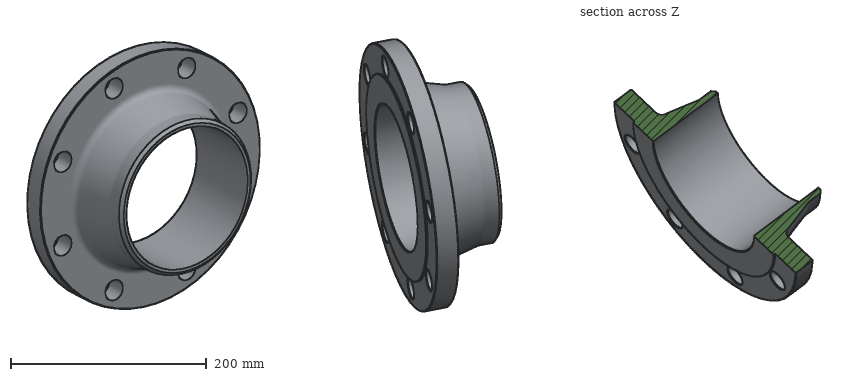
import cadquery as cq
import math


face_diameter = 217.0
face_height = 2.0
face_edge_chamfer = 0.5

length = 89.0
flange_diameter = 280.0
flange_thickness = 23.9
flange_back = face_height + flange_thickness
rim_chamfer = 1.0

bore_diameter = 154.1
bore_chamfer = 1.0

hub_diameter = 192.0
pipe_diameter = 168.3
taper_end = 69.5
hub_root_radius = 8.0
taper_blend_radius = 10.0
wall_thickness = (pipe_diameter - bore_diameter) / 2
weld_bevel = wall_thickness / 2

bolt_count = 8
bolt_circle_diameter = 241.3
bolt_hole_diameter = 22.2
bolt_hole_chamfer = 0.8

AXIS_START = (0, 0, 0)
AXIS_END = (1, 0, 0)


def make_blank():
    """Solid flange, turned from a half section given as (axial, radial) points."""
    flange_radius = flange_diameter / 2
    face_radius = face_diameter / 2
    hub_radius = hub_diameter / 2
    pipe_radius = pipe_diameter / 2

    cone_angle = math.atan2(hub_radius - pipe_radius, taper_end - flange_back)
    sin_cone = math.sin(cone_angle)
    cos_cone = math.cos(cone_angle)

    root_half_turn = (math.pi / 2 - cone_angle) / 2
    root_tangent = hub_root_radius * math.tan(root_half_turn)
    root_start = (flange_back, hub_radius + root_tangent)
    root_mid = (
        flange_back + hub_root_radius * (1 - math.cos(root_half_turn)),
        root_start[1] - hub_root_radius * math.sin(root_half_turn),
    )
    root_end = (flange_back + root_tangent * cos_cone, hub_radius - root_tangent * sin_cone)

    blend_half_turn = cone_angle / 2
    blend_tangent = taper_blend_radius * math.tan(blend_half_turn)
    blend_start = (taper_end - blend_tangent * cos_cone, pipe_radius + blend_tangent * sin_cone)
    blend_end = (taper_end + blend_tangent, pipe_radius)
    blend_mid = (
        blend_end[0] - taper_blend_radius * math.sin(blend_half_turn),
        pipe_radius + taper_blend_radius * (1 - math.cos(blend_half_turn)),
    )

    return (
        cq.Workplane("XZ")
        .moveTo(0, 0)
        .lineTo(0, face_radius - face_edge_chamfer)
        .lineTo(face_edge_chamfer, face_radius)
        .lineTo(face_height, face_radius)
        .lineTo(face_height, flange_radius - rim_chamfer)
        .lineTo(face_height + rim_chamfer, flange_radius)
        .lineTo(flange_back - rim_chamfer, flange_radius)
        .lineTo(flange_back, flange_radius - rim_chamfer)
        .lineTo(*root_start)
        .threePointArc(root_mid, root_end)
        .lineTo(*blend_start)
        .threePointArc(blend_mid, blend_end)
        .lineTo(length - weld_bevel, pipe_radius)
        .lineTo(length, pipe_radius - weld_bevel)
        .lineTo(length, 0)
        .close()
        .revolve(360, AXIS_START, AXIS_END)
    )


def hole_cutter(diameter, chamfer, start, end):
    """Round cutter on the X axis from start to end, widened by a chamfer at start."""
    radius = diameter / 2
    return (
        cq.Workplane("XZ")
        .moveTo(start, 0)
        .lineTo(start, radius + chamfer)
        .lineTo(start + chamfer, radius)
        .lineTo(end, radius)
        .lineTo(end, 0)
        .close()
        .revolve(360, AXIS_START, AXIS_END)
    )


def cut_bore(body):
    return body.cut(hole_cutter(bore_diameter, bore_chamfer, 0, length))


def cut_bolt_holes(body):
    pitch = 360 / bolt_count
    bolt_hole = hole_cutter(bolt_hole_diameter, bolt_hole_chamfer, face_height, flange_back)
    bolt_hole = bolt_hole.translate((0, bolt_circle_diameter / 2, 0))
    for index in range(bolt_count):
        angle = (index + 0.5) * pitch
        body = body.cut(bolt_hole.rotate(AXIS_START, AXIS_END, angle))
    return body


blank = make_blank()
bored = cut_bore(blank)
result = cut_bolt_holes(bored)